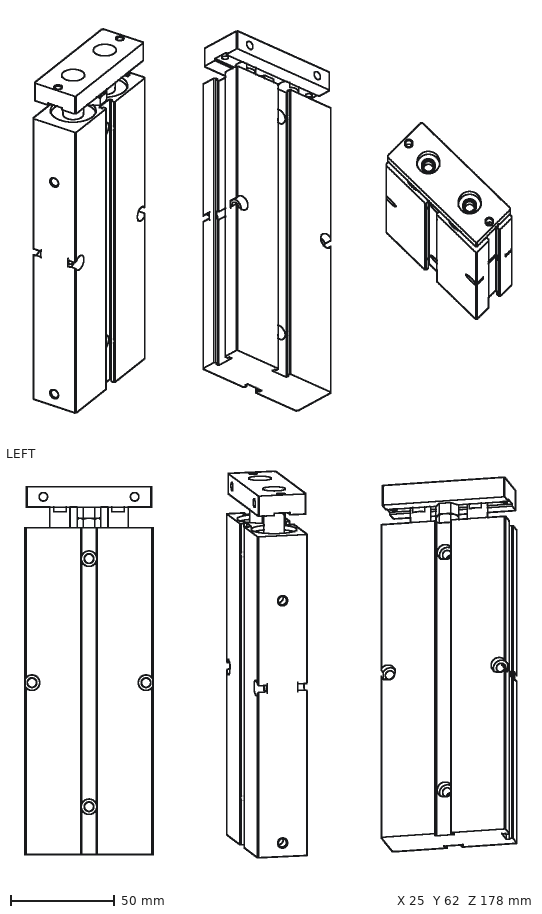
import cadquery as cq
import math

total_height = 178.0
edge_chamfer = 0.5

housing_x = 25.0
housing_y = 62.0
housing_height = 158.0

groove_width = 7.1
groove_inner_width = 9.3
groove_lip_depth = 2.0
groove_depth = 3.5
groove_chamfer = 0.5

mount_hole_diameter = 4.5
mount_bore_diameter = 7.5
mount_bore_depth = 4.8
edge_mount_y = 27.6
mount_middle_z = 83.1
mount_spacing_z = 60.0

port_diameter = 5.0
port_core_diameter = 4.1
port_depth = 7.1
port_heights = [6.8, 126.0]

rod_spacing = 28.1
rod_diameter = 10.0
rod_flat_width = 8.0
rod_flat_drop = 2.3
rod_recess_diameter = 22.0
rod_recess_depth = 2.1

stop_x = 3.4
hex_across_flats = 10.0
nut_height = 4.6
nut_chamfer_height = 0.5

plate_x = 23.9
plate_y = 60.9
plate_thickness = 10.0
plate_slot_depth = 1.0
screw_head_diameter = 11.0
screw_head_depth = 7.0
screw_hole_diameter = 6.5
rod_thread_diameter = 5.0
rod_thread_mouth = 5.9
rod_thread_depth = 7.1
plate_thread_diameter = 3.2
plate_thread_mouth = 4.1
plate_side_hole_diameter = 4.1
plate_side_hole_y = 22.0
plate_side_hole_depth = 7.1
plate_end_hole_y = 27.5

plate_bottom = total_height - plate_thickness
recess_floor = housing_height - rod_recess_depth
rod_places = [(0, -rod_spacing / 2), (0, rod_spacing / 2)]
hex_across_corners = hex_across_flats / math.cos(math.pi / 6)


def countersunk_hole(diameter, mouth_diameter, depth, start, direction):
    """Tool for a hole that opens out to a larger mouth through a 45 degree cone."""
    cone_depth = (mouth_diameter - diameter) / 2
    shaft = cq.Solid.makeCylinder(diameter / 2, depth, start, direction)
    cone = cq.Solid.makeCone(mouth_diameter / 2, diameter / 2, cone_depth, start, direction)
    return shaft.fuse(cone)


def groove(outward_angle, face_distance):
    """Tool for a full-height groove with a chamfered mouth and a wider bottom."""
    half = groove_width / 2
    inner_half = groove_inner_width / 2
    mouth_half = half + groove_chamfer
    outline = [
        (face_distance - groove_depth, -inner_half),
        (face_distance - groove_lip_depth, -inner_half),
        (face_distance - groove_lip_depth, -half),
        (face_distance - groove_chamfer, -half),
        (face_distance, -mouth_half),
        (face_distance, mouth_half),
        (face_distance - groove_chamfer, half),
        (face_distance - groove_lip_depth, half),
        (face_distance - groove_lip_depth, inner_half),
        (face_distance - groove_depth, inner_half),
    ]
    tool = cq.Workplane("XY").polyline(outline).close().extrude(housing_height)
    return tool.rotate((0, 0, 0), (0, 0, 1), outward_angle)


def mount_hole(y, z, bore_depth):
    """Tool for a through hole along X, counterbored from both sides."""
    start = -housing_x / 2
    along_x = cq.Vector(1, 0, 0)
    hole = cq.Solid.makeCylinder(mount_hole_diameter / 2, housing_x, cq.Vector(start, y, z), along_x)
    bore_radius = mount_bore_diameter / 2
    for bore_start in (start, -start - bore_depth):
        bore = cq.Solid.makeCylinder(bore_radius, bore_depth, cq.Vector(bore_start, y, z), along_x)
        hole = hole.fuse(bore)
    return hole


def make_stop():
    """Hexagonal bolt head on a lock nut whose upper corners are chamfered."""

    def hexagon(bottom, height):
        return (
            cq.Workplane("XY", origin=(stop_x, 0, bottom))
            .transformed(rotate=(0, 0, 90))
            .polygon(6, hex_across_corners)
            .extrude(height)
        )

    corner_radius = hex_across_corners / 2
    rounding = (
        cq.Workplane("XZ", origin=(stop_x, 0, housing_height))
        .polyline([
            (0, 0),
            (corner_radius, 0),
            (corner_radius, nut_height - nut_chamfer_height),
            (hex_across_flats / 2, nut_height),
            (0, nut_height),
        ])
        .close()
        .revolve(360, (0, 0, 0), (0, 1, 0))
    )
    nut = hexagon(housing_height, nut_height).intersect(rounding)
    head_bottom = housing_height + nut_height
    return nut.union(hexagon(head_bottom, plate_bottom - head_bottom))


def make_housing():
    """Grooved housing with its holes, rod recesses and stop bolt."""
    body = cq.Workplane("XY").box(housing_x, housing_y, housing_height, centered=(True, True, False))
    body = body.edges("|Z").chamfer(edge_chamfer)
    for angle, distance in ((0, housing_x / 2), (180, housing_x / 2), (90, housing_y / 2)):
        body = body.cut(groove(angle, distance))
    for side in (-1, 1):
        edge_hole = mount_hole(side * edge_mount_y, mount_middle_z, mount_bore_depth)
        groove_hole = mount_hole(
            0, mount_middle_z + side * mount_spacing_z, groove_depth + mount_bore_depth
        )
        body = body.cut(cq.Workplane(edge_hole)).cut(cq.Workplane(groove_hole))
    for z in port_heights:
        start = cq.Vector(0, -housing_y / 2, z)
        port = countersunk_hole(port_core_diameter, port_diameter, port_depth, start, cq.Vector(0, 1, 0))
        body = body.cut(cq.Workplane(port))
    recesses = (
        cq.Workplane("XY", origin=(0, 0, recess_floor))
        .pushPoints(rod_places)
        .circle(rod_recess_diameter / 2)
        .extrude(rod_recess_depth)
    )
    return body.cut(recesses).union(make_stop())


def make_rod(y):
    """Rod with two flats at its upper end, which fits the slot under the plate."""
    flat_bottom = plate_bottom - rod_flat_drop
    flat_top = plate_bottom + plate_slot_depth
    lower = (
        cq.Workplane("XY", origin=(0, y, recess_floor))
        .circle(rod_diameter / 2)
        .extrude(flat_bottom - recess_floor)
    )
    end_height = flat_top - flat_bottom
    flats = cq.Workplane("XY", origin=(0, y, flat_bottom)).box(
        rod_flat_width, rod_diameter, end_height, centered=(True, True, False)
    )
    end = cq.Workplane("XY", origin=(0, y, flat_bottom)).circle(rod_diameter / 2).extrude(end_height)
    return lower.union(end.intersect(flats))


def make_plate_assembly():
    """End plate joined to its two rods."""
    plate = cq.Workplane("XY", origin=(0, 0, plate_bottom)).box(
        plate_x, plate_y, plate_thickness, centered=(True, True, False)
    )
    plate = plate.edges("|Z").chamfer(edge_chamfer)
    slot = cq.Workplane("XY", origin=(0, 0, plate_bottom)).box(
        rod_flat_width, plate_y, plate_slot_depth, centered=(True, True, False)
    )
    plate = plate.cut(slot)
    plate = (
        plate.faces(">Z")
        .workplane(origin=(0, 0, total_height))
        .pushPoints(rod_places)
        .cboreHole(screw_hole_diameter, screw_head_diameter, screw_head_depth)
    )
    down = cq.Vector(0, 0, -1)
    along_x = cq.Vector(1, 0, 0)
    for side in (-1, 1):
        end_start = cq.Vector(0, side * plate_end_hole_y, total_height)
        end_hole = countersunk_hole(
            plate_thread_diameter, plate_thread_mouth, plate_thickness, end_start, down
        )
        side_start = cq.Vector(-plate_x / 2, side * plate_side_hole_y, total_height - plate_thickness / 2)
        side_hole = cq.Solid.makeCylinder(
            plate_side_hole_diameter / 2, plate_side_hole_depth, side_start, along_x
        )
        plate = plate.cut(cq.Workplane(end_hole)).cut(cq.Workplane(side_hole))
    for _, y in rod_places:
        rod_top = cq.Vector(0, y, plate_bottom + plate_slot_depth)
        thread = countersunk_hole(rod_thread_diameter, rod_thread_mouth, rod_thread_depth, rod_top, down)
        plate = plate.union(make_rod(y).cut(cq.Workplane(thread)))
    return plate


housing = make_housing()
plate_assembly = make_plate_assembly()
result = cq.Compound.makeCompound([housing.val(), plate_assembly.val()])